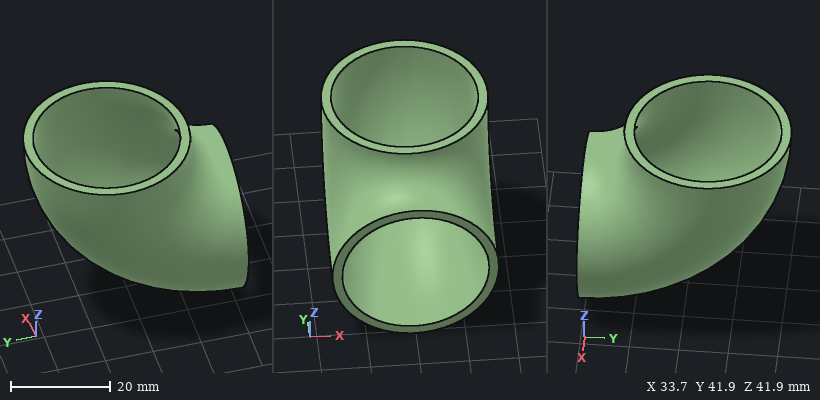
import cadquery as cq

overall_reach = 41.85
outer_diameter = 33.7
wall_thickness = 2.0
bend_angle = 90.0

outer_radius = outer_diameter / 2
inner_radius = outer_radius - wall_thickness
bend_radius = overall_reach - outer_radius


def make_elbow():
    """Sweep the pipe's ring section about the X axis, from the upward opening to the -Y opening."""
    ring_section = (
        cq.Workplane("XY")
        .center(0, bend_radius)
        .circle(outer_radius)
        .circle(inner_radius)
    )
    axis_start = (0, -bend_radius)
    axis_end = (-1, -bend_radius)
    return ring_section.revolve(bend_angle, axis_start, axis_end)


result = make_elbow()